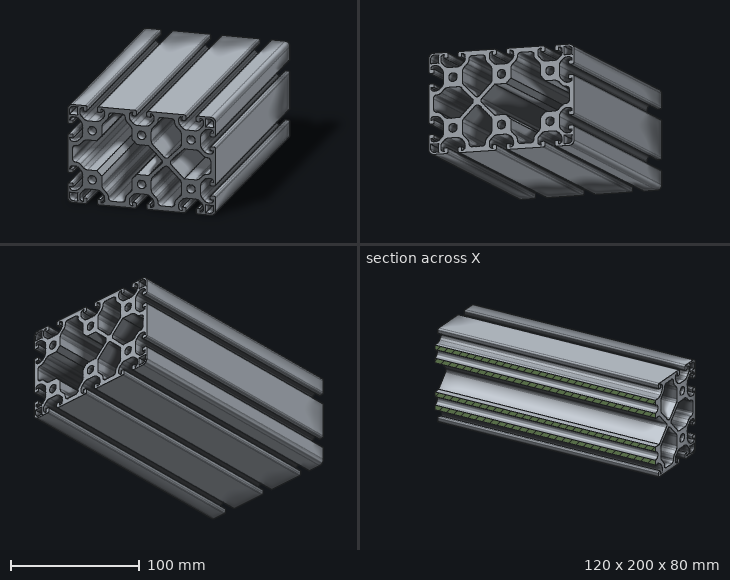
import cadquery as cq
import math

cell = 40.0
columns = 3
rows = 2
length = 200.0
width = columns * cell
height = rows * cell
corner_radius = 4.0

slot_opening = 8.2
lip_thickness = 4.5
lip_half_reach = 7.2
undercut_depth = 1.8
lobe_half_width = 10.0
lobe_top_radius = 2.5
lobe_side_radius = 4.8
slot_floor_radius = 5.2
lip_radius = 1.5
lip_tip_radius = 1.0

web = 3.2
core_width = 15.5
core_hole_diameter = 6.8
core_chamfer = 4.0
skin = 4.0
skin_radius = 2.8
neck_half_width = 6.8
neck_radius = 5.0
shoulder_radius = 4.8
cross_radius = 2.5
brace_radius = 4.0

hollow_near = 1.5
hollow_far = 8.2
hollow_radius = 3.2

slot_half_width = slot_opening / 2
core_half = core_width / 2
slot_depth = cell / 2 - core_half
chamber_half = cell / 2 - core_half

slot_slope_sum = 17.5
chamber_slope_sum = slot_slope_sum + web * math.sqrt(2)
brace_offset = web / math.sqrt(2)


def rounded_outline(corners):
    """Closed XZ outline through (x, z, radius) corners, each rounded by its radius."""
    wire = None
    for index, (x, z, radius) in enumerate(corners):
        corner = cq.Vector(x, z, 0)
        previous = cq.Vector(*corners[index - 1][:2])
        following = cq.Vector(*corners[(index + 1) % len(corners)][:2])
        back = (previous - corner).normalized()
        ahead = (following - corner).normalized()
        half_angle = back.getAngle(ahead) / 2
        setback = radius / math.tan(half_angle)
        start = corner + back * setback
        end = corner + ahead * setback
        if wire is None:
            wire = cq.Workplane("XZ").moveTo(start.x, start.y)
        else:
            wire = wire.lineTo(start.x, start.y)
        if radius > 0:
            to_middle = (back + ahead).normalized()
            middle = corner + to_middle * (radius / math.sin(half_angle) - radius)
            wire = wire.threePointArc((middle.x, middle.y), (end.x, end.y))
    return wire.close()


def extrude(corners):
    return rounded_outline(corners).extrude(length / 2, both=True)


def mirrored(half):
    """A half list of (offset, depth, radius) corners, completed on the other side."""
    return half + [(-offset, depth, radius) for offset, depth, radius in reversed(half)]


def slot_corners():
    """One T-slot as (offset along the face, depth, radius), from one lip to the other."""
    return mirrored([
        (-slot_half_width, 0, lip_radius),
        (-slot_half_width, lip_thickness, lip_tip_radius),
        (-lip_half_reach, lip_thickness, 0),
        (-lip_half_reach, undercut_depth, 0),
        (-lobe_half_width, undercut_depth, lobe_top_radius),
        (-lobe_half_width, slot_slope_sum - lobe_half_width, lobe_side_radius),
        (slot_depth - slot_slope_sum, slot_depth, slot_floor_radius),
    ])


def body():
    """Bar with its T-slots, walked clockwise from the top left corner."""
    faces = [
        (columns, width, height, 0),
        (rows, height, width, 90),
        (columns, width, height, 180),
        (rows, height, width, 270),
    ]
    corners = []
    for slots, face_width, face_distance, turn in faces:
        cosine = round(math.cos(math.radians(turn)))
        sine = round(math.sin(math.radians(turn)))
        face = [(-face_width / 2, 0, corner_radius)]
        for slot in range(slots):
            centre = (slot + 0.5) * cell - face_width / 2
            face += [(centre + offset, depth, radius) for offset, depth, radius in slot_corners()]
        for along, depth, radius in face:
            out = face_distance / 2 - depth
            corners.append((along * cosine + out * sine, out * cosine - along * sine, radius))
    return extrude(corners)


def chamber_mouth():
    """Chamber end between two slots, as (offset, distance inside the face, radius)."""
    neck_end = chamber_slope_sum - (cell / 2 - neck_half_width)
    shoulder = chamber_slope_sum - core_half
    return [
        (-chamber_half, shoulder, shoulder_radius),
        (-neck_half_width, neck_end, neck_radius),
        (-neck_half_width, skin, skin_radius),
        (neck_half_width, skin, skin_radius),
        (neck_half_width, neck_end, neck_radius),
        (chamber_half, shoulder, shoulder_radius),
    ]


cross_x = width / 2 - cell
open_x = -cross_x


def top_mouth(centre):
    """Chamber end at the top face, left to right."""
    return [(centre + offset, height / 2 - depth, radius) for offset, depth, radius in chamber_mouth()]


def left_mouth():
    """Chamber end at the left face, bottom to top."""
    return [(depth - width / 2, offset, radius) for offset, depth, radius in chamber_mouth()]


def cross_tip():
    """Tip of the chamber on the left of the cross, top to bottom."""
    shoulder_x = cross_x - chamber_half - brace_offset
    return [
        (shoulder_x, chamber_half, 0),
        (cross_x - brace_offset, 0, cross_radius),
        (shoulder_x, -chamber_half, 0),
    ]


def flip_z(corners):
    """Mirror image across the XY plane, reversed to keep the walking direction."""
    return [(x, -z, radius) for x, z, radius in reversed(corners)]


def flip_x(corners, centre=0):
    """Mirror image across a plane of constant X, reversed to keep the walking direction."""
    return [(2 * centre - x, z, radius) for x, z, radius in reversed(corners)]


def open_chamber():
    """Large left chamber: reaches the left, top and bottom skins and the cross."""
    left_core = [
        (open_x - chamber_half - core_chamfer, chamber_half, 0),
        (open_x - chamber_half, chamber_half + core_chamfer, 0),
    ]
    upper = left_core + top_mouth(open_x) + flip_x(left_core, open_x)
    return extrude(left_mouth() + upper + cross_tip() + flip_z(upper))


def cross_top_chamber():
    brace_z = chamber_half + brace_offset
    return extrude(top_mouth(cross_x) + [
        (cross_x + chamber_half, brace_z, brace_radius),
        (cross_x, brace_offset, cross_radius),
        (cross_x - chamber_half, brace_z, brace_radius),
    ])


def cross_right_chamber():
    return extrude(flip_x(left_mouth()) + flip_x(cross_tip(), cross_x))


def corner_hollow():
    """Hollow of the top right corner."""
    near_x = width / 2 - hollow_near
    far_x = width / 2 - hollow_far
    near_z = height / 2 - hollow_near
    far_z = height / 2 - hollow_far
    return extrude([
        (far_x, near_z, 0),
        (near_x, near_z, hollow_radius),
        (near_x, far_z, 0),
        (far_x, far_z, 0),
    ])


def core_holes():
    return (
        cq.Workplane("XZ")
        .rarray(cell, cell, columns, rows)
        .circle(core_hole_diameter / 2)
        .extrude(length / 2, both=True)
    )


upper_chamber = cross_top_chamber()
upper_hollow = corner_hollow()
right_hollows = upper_hollow.union(upper_hollow.mirror("XY"))

result = (
    body()
    .cut(open_chamber())
    .cut(upper_chamber)
    .cut(upper_chamber.mirror("XY"))
    .cut(cross_right_chamber())
    .cut(right_hollows)
    .cut(right_hollows.mirror("YZ"))
    .cut(core_holes())
)